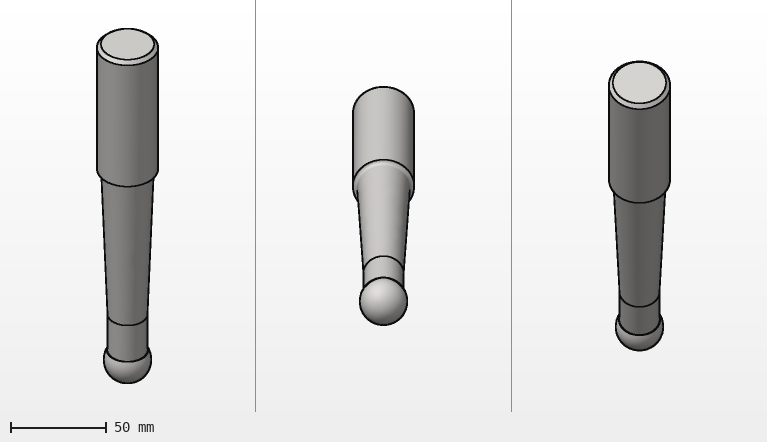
import cadquery as cq
import math

total_length = 215.0
shank_diameter = 32.0
shank_length = 80.0
shank_chamfer = 2.2

neck_top_diameter = 27.5
neck_end_diameter = 21.0
neck_land_length = 0.6

ball_diameter = 25.0
ball_shoulder_height = 18.7
tip_length = 42.0

shank_radius = shank_diameter / 2
shank_bottom = total_length - shank_length
neck_top_radius = neck_top_diameter / 2
neck_end_radius = neck_end_diameter / 2
fillet_radius = shank_radius - neck_top_radius
ball_radius = ball_diameter / 2
ball_shoulder_radius = math.sqrt(ball_radius**2 - (ball_shoulder_height - ball_radius)**2)


def revolve_about_z(profile):
    """Turn a closed radius-height profile into a solid of revolution."""
    return profile.close().revolve(360, (0, 0, 0), (0, 1, 0))


def make_holder():
    """Chamfered shank with a neck that tapers to a short cylindrical land at the tip joint."""
    fillet_center = (shank_radius, shank_bottom - fillet_radius)
    fillet_offset = fillet_radius * math.sqrt(0.5)
    fillet_middle = (fillet_center[0] - fillet_offset, fillet_center[1] + fillet_offset)
    profile = (
        cq.Workplane("XZ")
        .moveTo(0, tip_length)
        .lineTo(neck_end_radius, tip_length)
        .lineTo(neck_end_radius, tip_length + neck_land_length)
        .lineTo(neck_top_radius, shank_bottom - fillet_radius)
        .threePointArc(fillet_middle, (shank_radius, shank_bottom))
        .lineTo(shank_radius, total_length - shank_chamfer)
        .lineTo(shank_radius - shank_chamfer, total_length)
        .lineTo(0, total_length)
    )
    return revolve_about_z(profile)


def make_tip():
    """Cylindrical stem on a ball that is cut flat as a narrow shoulder around the stem."""
    profile = (
        cq.Workplane("XZ")
        .moveTo(0, 0)
        .threePointArc((ball_radius, ball_radius), (ball_shoulder_radius, ball_shoulder_height))
        .lineTo(neck_end_radius, ball_shoulder_height)
        .lineTo(neck_end_radius, tip_length)
        .lineTo(0, tip_length)
    )
    return revolve_about_z(profile)


holder = make_holder()
tip = make_tip()

result = cq.Compound.makeCompound([holder.val(), tip.val()])